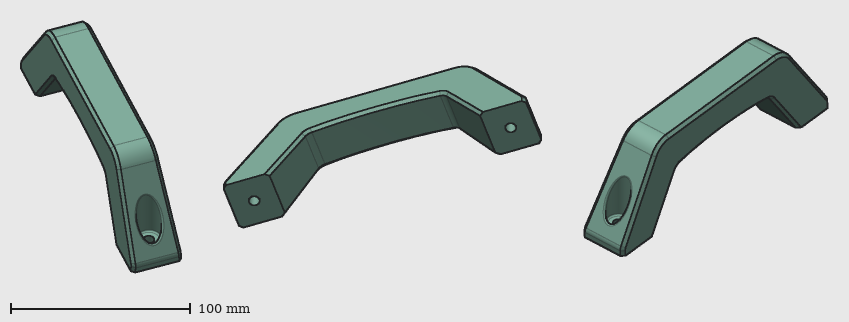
import cadquery as cq
import math

length = 178.0
foot_width = 30.0
height = 59.0
side_taper = 3.0

leg_lean = 32.6
heel_height = 5.2
foot_length = 27.0
arch_height = 37.0
arch_radius = 267.0
shoulder_radius = 15.0
heel_radius = 5.0
armpit_radius = 5.3
edge_chamfer = 2.0

screw_spacing = 151.0
screw_diameter = 6.0
bore_diameter = 14.0
bore_floor = 8.9
bore_fillet = 1.0

half_length = length / 2
half_width = foot_width / 2
lean_run = math.tan(math.radians(leg_lean))
shoulder_x = half_length - (height - heel_height) * lean_run
foot_inner_x = half_length - foot_length


def arch_meeting_point():
    """Point where the right inner leg line meets the arch circle."""
    center_z = arch_height - arch_radius
    lean = math.radians(leg_lean)
    along = foot_inner_x * math.sin(lean) + center_z * math.cos(lean)
    reach_squared = foot_inner_x**2 + center_z**2 - arch_radius**2
    travel = along + math.sqrt(along**2 - reach_squared)
    return foot_inner_x - travel * math.sin(lean), travel * math.cos(lean)


def handle_blank():
    """Arched outline, extruded across the width with rounded corners."""
    arch_x, arch_z = arch_meeting_point()
    outline = (
        cq.Workplane("XZ", origin=(0, half_width, 0))
        .moveTo(-half_length, 0)
        .lineTo(-half_length, heel_height)
        .lineTo(-shoulder_x, height)
        .lineTo(shoulder_x, height)
        .lineTo(half_length, heel_height)
        .lineTo(half_length, 0)
        .lineTo(foot_inner_x, 0)
        .lineTo(arch_x, arch_z)
        .threePointArc((0, arch_height), (-arch_x, arch_z))
        .lineTo(-foot_inner_x, 0)
        .close()
    )
    blank = outline.extrude(foot_width)
    corners = (
        (shoulder_x, height, shoulder_radius),
        (half_length, heel_height, heel_radius),
        (arch_x, arch_z, armpit_radius),
    )
    for x, z, radius in corners:
        for side in (-1, 1):
            edge = cq.selectors.NearestToPointSelector((side * x, 0, z))
            blank = blank.edges("|Y").edges(edge).fillet(radius)
    return blank


def tapered_envelope():
    """Wedge whose sloping faces form the two sides of the handle."""
    top_half_width = half_width - height * math.tan(math.radians(side_taper))
    return (
        cq.Workplane("YZ", origin=(-half_length, 0, 0))
        .polyline([
            (-half_width, 0),
            (half_width, 0),
            (top_half_width, height),
            (-top_half_width, height),
        ])
        .close()
        .extrude(length)
    )


def chamfer_side_edges(body):
    """Chamfer both side outlines, leaving the flat feet sharp."""
    side_edges = body.faces("<Y or >Y").edges().filter(
        lambda edge: edge.BoundingBox().zmax > edge_chamfer
    )
    return side_edges.chamfer(edge_chamfer)


def cut_screw_hole(body, x):
    """Vertical screw hole with a deep bore that breaks out of the leg."""
    bore_bottom = cq.Workplane("XY", origin=(x, 0, bore_floor))
    bore = bore_bottom.circle(bore_diameter / 2).extrude(height)
    bore = bore.faces("<Z").edges().fillet(bore_fillet)
    screw = cq.Workplane("XY", origin=(x, 0, 0)).circle(screw_diameter / 2).extrude(height)
    body = body.cut(bore)
    leg_z = heel_height + (half_length - abs(x)) / lean_run
    rim = cq.selectors.NearestToPointSelector((x, 0, leg_z))
    body = body.edges("%ELLIPSE").edges(rim).fillet(bore_fillet)
    return body.cut(screw)


handle = chamfer_side_edges(handle_blank().intersect(tapered_envelope()))
for screw_x in (-screw_spacing / 2, screw_spacing / 2):
    handle = cut_screw_hole(handle, screw_x)
result = handle